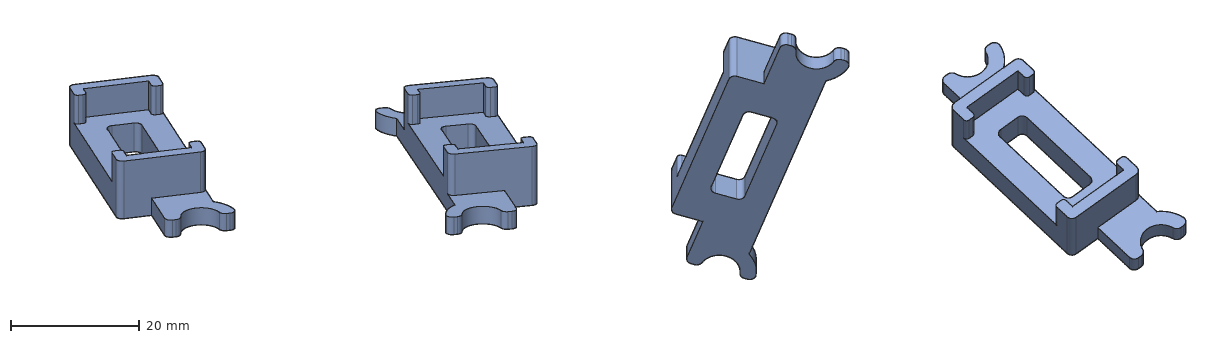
import cadquery as cq

overall_length = 46.0
body_length = 29.0
body_width = 14.45
body_height = 10.0
body_corner_radius = 1.0

floor_height = 5.0
wall_thickness = 1.95
hook_reach = 4.0
hook_corner_radius = 0.6

window_length = 17.0
window_width = 5.55
window_corner_radius = 1.0

tab_height = 3.0
horn_radius = 5.8
tab_bottom_y = -1.75
bite_radius = 3.2
tab_corner_radius = 1.0
tab_center_y = 3.95
end_x = overall_length / 2
half_width = body_width / 2


def block(length, width, height, corner_radius):
    """Upright block centred on the Z axis with rounded vertical edges."""
    return (
        cq.Workplane("XY")
        .box(length, width, height, centered=(True, True, False))
        .edges("|Z")
        .fillet(corner_radius)
    )


def make_body():
    """Rounded block cut down to its floor between the hooked end walls."""
    body = block(body_length, body_width, body_height, body_corner_radius)
    pocket_height = body_height - floor_height
    pocket = cq.Workplane("XY").box(
        body_length - 2 * wall_thickness,
        body_width - 2 * wall_thickness,
        pocket_height,
        centered=(True, True, False),
    )
    passage = cq.Workplane("XY").box(
        body_length - 2 * hook_reach,
        body_width,
        pocket_height,
        centered=(True, True, False),
    )
    body = body.cut(pocket.union(passage).translate((0, 0, floor_height)))

    tip_x = body_length / 2 - hook_reach
    selection_margin = 0.1
    for side_x in (-1, 1):
        for side_y in (-1, 1):
            for edge_y in (half_width, half_width - wall_thickness):
                x = side_x * tip_x
                y = side_y * edge_y
                selector = cq.selectors.BoxSelector(
                    (x - selection_margin, y - selection_margin, floor_height),
                    (x + selection_margin, y + selection_margin, body_height),
                )
                body = body.edges("|Z").edges(selector).fillet(hook_corner_radius)
    return body


def make_left_tab():
    """Flat tab with a curved horn, a round bite and rounded outer corners."""
    plate_length = end_x - body_length / 2 + wall_thickness
    plate = (
        cq.Workplane("XY")
        .box(plate_length, half_width - tab_bottom_y, tab_height, centered=False)
        .translate((-end_x, tab_bottom_y, 0))
    )
    horn = (
        cq.Workplane("XY")
        .moveTo(-end_x, tab_center_y)
        .lineTo(-end_x, tab_center_y + horn_radius)
        .radiusArc((-end_x + horn_radius, tab_center_y), horn_radius)
        .close()
        .extrude(tab_height)
    )
    bite = (
        cq.Workplane("XY")
        .center(-end_x, tab_center_y)
        .circle(bite_radius)
        .extrude(tab_height)
    )
    tab = plate.union(horn).clean().cut(bite)
    return tab.faces("<X").edges("|Z").fillet(tab_corner_radius)


window = block(window_length, window_width, floor_height, window_corner_radius)
left_tab = make_left_tab()
right_tab = left_tab.mirror("YZ")
result = make_body().cut(window).union(left_tab).union(right_tab)